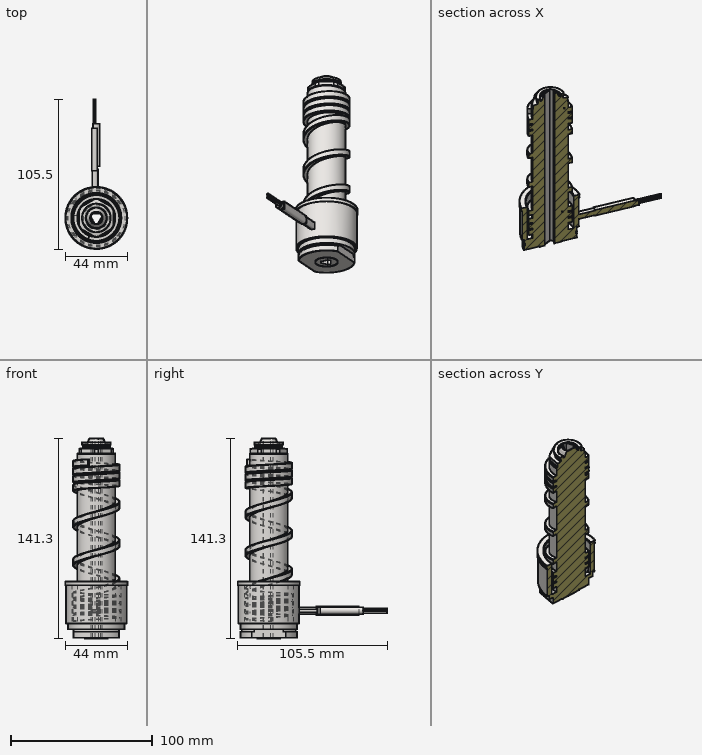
import math

import cadquery as cq

pad_radius = 8.0
pad_height = 0.4
flange_radius = 20.0
flange_top = 4.8
flange_chamfer = 0.3
neck_radius = 19.1
neck_top = 6.4
shoulder_top = 10.3
body_radius = 21.5
body_chamfer = 0.5
collar_radius = 22.0
collar_bottom = 37.4
collar_top = 40.4
collar_chamfer = 0.4
flat_offset = 16.1
bore_radius = 17.3
bore_chamfer = 0.5

tube_radius = 13.5
tube_top = 130.7
tube_chamfer_width = 0.4
tube_chamfer_height = 0.9
hex_across_flats = 24.2
hex_corner_radius = 13.2
hex_edge_top = 133.6
hex_top = 134.3
tip_neck_radius = 9.7
tip_groove_radius = 9.3
tip_groove_bottom = 134.7
tip_groove_middle = 135.3
tip_groove_top = 135.9
disc_radius = 10.2
disc_bottom = 136.5
disc_top = 138.3
recess_radius = 7.5
recess_floor = 136.3
dome_base_radius = 7.1
dome_start_radius = 6.0
dome_start_height = 138.3
dome_middle_radius = 5.6
dome_middle_height = 139.7
dome_top_radius = 4.5
part_height = 141.3

mouth_radius = 4.1
mouth_depth = 0.5
passage_inradius = 3.0

coil_outer_radius = 16.5
coil_embed = 0.2
coil_height = 4.7
coil_chamfer = 0.45
open_pitch = 27.0
close_pitch = 5.4
ramp_angle = 147.0
open_start_angle = -40.0
open_end_angle = 814.0
lower_close_angle = 1080.0
upper_close_angle = 1088.0
open_reference_height = 40.2
samples_per_turn = 24

cable_height = 19.6
cable_start = 19.0
clamp_start = 33.4
rod_start = 36.4
clamp_end = 63.4
rod_end = 66.5
wire_start = 60.0
wire_end = 83.5
rod_radius = 2.5
wire_radius = 0.75
wire_x = -1.25
wire_spacing = 2.2
crown_start = -0.9
cable_left = -2.9
cable_right = 1.2
cable_half_height = 2.6
cable_corner = 0.6
cable_crown = 2.2
clamp_margin = 0.45
clamp_right = 0.75
clamp_corner = 0.95
clamp_crown = 2.75
joint_overlap = 1.0


def make_housing():
    """Housing shell with its bore left open at the top."""
    outline = [
        (0, 0),
        (pad_radius, 0),
        (pad_radius, pad_height),
        (flange_radius - flange_chamfer, pad_height),
        (flange_radius, pad_height + flange_chamfer),
        (flange_radius, flange_top),
        (neck_radius, flange_top),
        (neck_radius, neck_top),
        (flange_radius, neck_top),
        (flange_radius, shoulder_top),
        (body_radius - body_chamfer, shoulder_top),
        (body_radius, shoulder_top + body_chamfer),
        (body_radius, collar_bottom),
        (collar_radius, collar_bottom),
        (collar_radius, collar_top - collar_chamfer),
        (collar_radius - collar_chamfer, collar_top),
        (bore_radius + bore_chamfer, collar_top),
        (bore_radius, collar_top - bore_chamfer),
        (bore_radius, shoulder_top),
        (0, shoulder_top),
    ]
    housing = cq.Workplane("XZ").polyline(outline).close().revolve(360, (0, 0), (0, 1))
    for side in (-1, 1):
        cutter = cq.Workplane("XY").box(
            flange_radius, 2 * collar_radius, neck_top, centered=(True, True, False)
        )
        housing = housing.cut(cutter.translate((side * (flat_offset + flange_radius / 2), 0, 0)))
    return housing


def make_tube():
    """Plain tube with a chamfered upper rim."""
    outline = [
        (0, shoulder_top),
        (tube_radius, shoulder_top),
        (tube_radius, tube_top - tube_chamfer_height),
        (tube_radius - tube_chamfer_width, tube_top),
        (0, tube_top),
    ]
    return cq.Workplane("XZ").polyline(outline).close().revolve(360, (0, 0), (0, 1))


def make_hexagon():
    """Hexagon with flats toward +X and -X, its corners turned off and its top coned."""
    corner_diameter = hex_across_flats / math.cos(math.pi / 6)
    prism = (
        cq.Workplane("XY", origin=(0, 0, tube_top))
        .transformed(rotate=(0, 0, 30))
        .polygon(6, corner_diameter)
        .extrude(hex_top - tube_top)
    )
    envelope = (
        cq.Workplane("XZ")
        .moveTo(0, tube_top)
        .lineTo(hex_corner_radius, tube_top)
        .lineTo(hex_corner_radius, hex_edge_top)
        .lineTo(tip_neck_radius, hex_top)
        .lineTo(0, hex_top)
        .close()
        .revolve(360, (0, 0), (0, 1))
    )
    return prism.intersect(envelope)


def make_tip():
    """Grooved neck and disc with a domed nozzle standing in a recess."""
    dome_curve = [
        (dome_start_radius, dome_start_height),
        (dome_middle_radius, dome_middle_height),
        (dome_top_radius, part_height),
    ]
    return (
        cq.Workplane("XZ")
        .moveTo(0, tube_top)
        .lineTo(tip_neck_radius, tube_top)
        .lineTo(tip_neck_radius, tip_groove_bottom)
        .lineTo(tip_groove_radius, tip_groove_middle)
        .lineTo(tip_neck_radius, tip_groove_top)
        .lineTo(tip_neck_radius, disc_bottom)
        .lineTo(disc_radius, disc_bottom)
        .lineTo(disc_radius, disc_top)
        .lineTo(recess_radius, disc_top)
        .lineTo(recess_radius, recess_floor)
        .lineTo(dome_base_radius, recess_floor)
        .spline(dome_curve, includeCurrent=True)
        .lineTo(0, part_height)
        .close()
        .revolve(360, (0, 0), (0, 1))
    )


def coil_center_height(angle):
    """Height of the strip's middle at a winding angle in degrees.

    The pitch is constant in the open and close-wound stretches and changes linearly between.
    """
    inside = min(max(angle, open_start_angle), open_end_angle)
    height = open_reference_height + open_pitch * inside / 360
    beyond = angle - inside
    ramp = min(abs(beyond), ramp_angle)
    close = abs(beyond) - ramp
    pitch_drop = (open_pitch - close_pitch) * ramp / ramp_angle
    rise = (open_pitch - pitch_drop / 2) * ramp / 360 + close_pitch * close / 360
    return height + math.copysign(rise, beyond)


def coil_point(angle, radius, offset):
    """Point on the winding, offset in Z from the strip's middle."""
    radians = math.radians(angle)
    return cq.Vector(
        radius * math.cos(radians),
        radius * math.sin(radians),
        coil_center_height(angle) + offset,
    )


def coil_segment(start, end):
    """Solid strip wound from one angle to another, with its outer edges chamfered."""
    half = coil_height / 2
    inner = tube_radius - coil_embed
    section = [
        (inner, -half),
        (coil_outer_radius - coil_chamfer, -half),
        (coil_outer_radius, coil_chamfer - half),
        (coil_outer_radius, half - coil_chamfer),
        (coil_outer_radius - coil_chamfer, half),
        (inner, half),
    ]
    count = math.ceil(samples_per_turn * (end - start) / 360)
    angles = [start + (end - start) * step / count for step in range(count + 1)]
    edges = [
        cq.Edge.makeSpline([coil_point(angle, radius, offset) for angle in angles])
        for radius, offset in section
    ]
    faces = [
        cq.Face.makeRuledSurface(edge, edges[(index + 1) % len(edges)])
        for index, edge in enumerate(edges)
    ]
    for angle in (start, end):
        corners = [coil_point(angle, radius, offset) for radius, offset in section]
        faces.append(cq.Face.makeFromWires(cq.Wire.makePolygon(corners, close=True)))
    return cq.Solid.makeSolid(cq.Shell.makeShell(faces))


def make_coil():
    """Whole winding, from the lower close-wound end to the upper one."""
    first = open_start_angle - ramp_angle - lower_close_angle
    last = open_end_angle + ramp_angle + upper_close_angle
    return cq.Workplane(obj=coil_segment(first, last))


def rounded_bar(left, right, half_height, corner, crown_radius, start, end):
    """Bar along Y: small corners on its -X side, a larger crown falling away on its +X side."""
    drop = crown_radius - math.sqrt(crown_radius**2 - (right - crown_start) ** 2)
    half_turn = math.asin((right - crown_start) / crown_radius) / 2
    mid_x = crown_start + crown_radius * math.sin(half_turn)
    mid_z = half_height - crown_radius * (1 - math.cos(half_turn))
    corner_mid = corner * (1 - math.sqrt(0.5))
    side_z = half_height - drop
    return (
        cq.Workplane("XZ", origin=(0, start, cable_height))
        .moveTo(left + corner, half_height)
        .lineTo(crown_start, half_height)
        .threePointArc((mid_x, mid_z), (right, side_z))
        .lineTo(right, -side_z)
        .threePointArc((mid_x, -mid_z), (crown_start, -half_height))
        .lineTo(left + corner, -half_height)
        .threePointArc((left + corner_mid, corner_mid - half_height), (left, corner - half_height))
        .lineTo(left, half_height - corner)
        .threePointArc((left + corner_mid, half_height - corner_mid), (left + corner, half_height))
        .close()
        .extrude(start - end)
    )


def round_bar(x, z, radius, start, end):
    """Round bar along Y."""
    return cq.Workplane("XZ", origin=(x, start, z)).circle(radius).extrude(start - end)


def make_cable():
    """Cable, clamp, round sleeve and two bare wires."""
    cable = rounded_bar(
        cable_left,
        cable_right,
        cable_half_height,
        cable_corner,
        cable_crown,
        cable_start,
        clamp_start + joint_overlap,
    )
    clamp = rounded_bar(
        cable_left - clamp_margin,
        clamp_right,
        cable_half_height + clamp_margin,
        clamp_corner,
        clamp_crown,
        clamp_start,
        clamp_end,
    )
    cable = cable.union(clamp)
    cable = cable.union(round_bar(0, cable_height, rod_radius, rod_start, rod_end))
    for side in (-1, 1):
        wire_z = cable_height + side * wire_spacing / 2
        cable = cable.union(round_bar(wire_x, wire_z, wire_radius, wire_start, wire_end))
    return cable


def make_opening():
    """Passage through the whole part, cut from a circle by three flats, with a round mouth."""
    passage = cq.Workplane("XY").circle(mouth_radius).extrude(part_height)
    triangle = (
        cq.Workplane("XY")
        .transformed(rotate=(0, 0, -90))
        .polygon(3, 4 * passage_inradius)
        .extrude(part_height)
    )
    mouth = (
        cq.Workplane("XY", origin=(0, 0, part_height - mouth_depth))
        .circle(mouth_radius)
        .extrude(mouth_depth)
    )
    return passage.intersect(triangle).union(mouth)


result = (
    make_housing()
    .union(make_tube())
    .union(make_hexagon())
    .union(make_tip())
    .union(make_coil())
    .union(make_cable())
    .cut(make_opening())
)